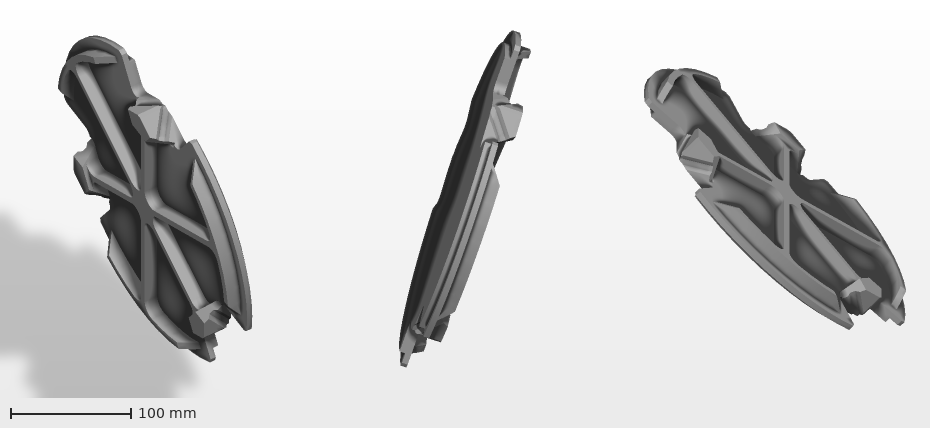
import cadquery as cq
import math


flange_radius = 147.8
back_radius = 136.0
back_depth = 5.0
plate_depth = 10.0

rib_depth = 22.2
ring_outer_radius = 137.8
ring_inner_radius = 131.5
spoke_width = 6.0
spoke_count = 6
rib_fillet = 10.0
ramp_start_gap = 14.8
ramp_length = 18.0

symmetry = 3
notch_wall_offset = 20.0
notch_fillet = 8.0
tip_chamfer = 3.3
lug_depth = 26.0
lug_face_offset = 105.3
lug_base_z = 98.8
lug_top_z = 120.3
lug_end_distance = 32.0

relief_x = 24.2
relief_z = 104.7
relief_radius = 6.5
relief_floor_radius = 4.7
relief_depth = 1.5

groove_angle = math.degrees(math.asin(1 / math.sqrt(3)))
groove_center = -1.5
groove_width = 11.0
groove_floor_width = 4.7
groove_depth = 3.0

cos30 = math.cos(math.radians(30))
sin30 = math.sin(math.radians(30))
tan30 = math.tan(math.radians(30))
ridge_z = lug_face_offset / cos30
lug_top_half_width = (ridge_z - lug_top_z) / tan30
lug_base_half_width = (ridge_z - lug_base_z) / tan30
cutter_size = 2 * flange_radius
tolerance = 0.3


def front_plane(depth):
    """Plane facing -Y at a depth in front of the back, with local x = X and y = Z."""
    return cq.Workplane("XZ", origin=(0, -depth, 0))


def turned(shape, angle):
    return shape.rotate((0, 0, 0), (0, 1, 0), angle)


def edges_at_radius(body, radius):
    """Select the straight edges along Y that lie at a radius from the disc axis."""
    picked = []
    for edge in body.edges("|Y").vals():
        middle = edge.Center()
        at_radius = abs(math.hypot(middle.x, middle.z) - radius) < tolerance
        if at_radius:
            picked.append(edge)
    return body.newObject(picked)


def mirrored_left_half(shape):
    """The part of a shape at negative X together with its mirror image."""
    size = 2 * cutter_size
    left_space = cq.Workplane("XY").box(size, size, size).translate((-size / 2, 0, 0))
    left = shape.intersect(left_space)
    return left.union(left.mirror("YZ"))


def three_around(shape):
    """Copies of a top feature at each of the three notches, as one body."""
    step = 360 / symmetry
    body = shape
    for i in range(1, symmetry):
        body = body.union(turned(shape, i * step))
    return body


def wall_point(along, offset):
    """Point on the line beside the left notch, measured along it and sideways."""
    return (-along * sin30 + offset * cos30, along * cos30 + offset * sin30)


def notch():
    """Cutter for the top notch, leaving the outline of the lug in its middle."""
    outer_x, outer_z = wall_point(cutter_size, notch_wall_offset)
    root_x, root_z = wall_point(lug_face_offset, notch_wall_offset)
    points = [
        (outer_x, outer_z), (root_x, root_z),
        (-lug_top_half_width, lug_top_z), (lug_top_half_width, lug_top_z),
        (-root_x, root_z), (-outer_x, outer_z),
    ]
    cutter = front_plane(0).polyline(points).close().extrude(plate_depth)
    roots = edges_at_radius(cutter, math.hypot(root_x, root_z))
    return roots.fillet(notch_fillet)


def plate():
    notches = three_around(notch())
    back = front_plane(0).circle(back_radius).extrude(back_depth).cut(notches)
    flange = front_plane(back_depth).circle(flange_radius)
    flange = flange.extrude(plate_depth - back_depth).cut(notches)
    flange = edges_at_radius(flange, flange_radius).chamfer(tip_chamfer)
    return back.union(flange)


def lug_relief():
    """Pair of shallow conical cutters beside the ends of the top lug."""
    cone = cq.Solid.makeCone(
        relief_radius, relief_floor_radius, relief_depth,
        cq.Vector(-relief_x, -plate_depth, relief_z), cq.Vector(0, 1, 0),
    )
    return mirrored_left_half(cq.Workplane(cone))


def ring_gap():
    """Cutter that opens the ring at the top notch and slopes the ring ends."""
    foot = notch_wall_offset - ramp_start_gap
    crest = foot - ramp_length
    profile = [(cutter_size, -plate_depth), (foot, -plate_depth),
               (crest, -rib_depth), (cutter_size, -rib_depth)]
    wall_x = lug_base_z * sin30
    wall_z = lug_base_z * cos30
    start = (-wall_x, 0, wall_z)
    wall_frame = cq.Plane(origin=start, xDir=(cos30, 0, sin30), normal=(-sin30, 0, cos30))
    left = cq.Workplane(wall_frame).polyline(profile).close().extrude(cutter_size)
    return mirrored_left_half(left)


def ribs():
    height = rib_depth - plate_depth
    ring = front_plane(plate_depth).circle(ring_outer_radius).circle(ring_inner_radius)
    spoke_end = (ring_outer_radius + ring_inner_radius) / 2
    body = ring.extrude(height)
    for i in range(spoke_count):
        reach = spoke_end if i % 2 else lug_base_z
        spoke = front_plane(plate_depth).center(0, reach / 2).rect(spoke_width, reach)
        spoke = spoke.extrude(height)
        body = body.union(turned(spoke, i * 360 / spoke_count))
    hub_corner_radius = spoke_width / 2 / math.sin(math.pi / spoke_count)
    body = edges_at_radius(body, hub_corner_radius).fillet(rib_fillet)
    body = edges_at_radius(body, ring_inner_radius).fillet(rib_fillet)
    return body.cut(three_around(ring_gap())).union(three_around(spoke_flare()))


def spoke_flare():
    """Rounded widening of a spoke where it runs into the base of the top lug."""
    inner_x = spoke_width / 2
    outer_x = inner_x + rib_fillet
    start_z = lug_base_z - rib_fillet
    bulge = rib_fillet * math.sin(math.radians(45))
    mid_x = outer_x - bulge
    mid_z = start_z + bulge
    return (
        front_plane(plate_depth)
        .moveTo(-inner_x, start_z)
        .threePointArc((-mid_x, mid_z), (-outer_x, lug_base_z))
        .lineTo(outer_x, lug_base_z)
        .threePointArc((mid_x, mid_z), (inner_x, start_z))
        .close()
        .extrude(rib_depth - plate_depth)
    )


def groove_plane():
    """Plane through the ridge point across the left groove.

    Local x runs across the groove, local y points out of the lug face and the
    normal runs down the groove toward the slanted lug end.
    """
    rise = math.sin(math.radians(groove_angle))
    run = math.cos(math.radians(groove_angle))
    downhill = (-run * cos30, -rise, -run * sin30)
    across = (rise * cos30, -run, rise * sin30)
    return cq.Plane(origin=(0, 0, ridge_z), xDir=across, normal=downhill)


def grooves():
    """Cutter for the trapezoidal grooves in both faces of the top lug."""
    half_top = groove_width / 2
    half_floor = groove_floor_width / 2
    slope = (half_top - half_floor) / groove_depth
    above = groove_depth
    half_above = half_top + slope * above
    points = [
        (groove_center - half_above, above),
        (groove_center - half_floor, -groove_depth),
        (groove_center + half_floor, -groove_depth),
        (groove_center + half_above, above),
    ]
    left = cq.Workplane(groove_plane()).polyline(points).close()
    return mirrored_left_half(left.extrude(cutter_size, both=True))


def lug():
    """Top lug over the full depth with slanted ends, before the grooves are cut."""
    points = [
        (-lug_base_half_width, lug_base_z), (-lug_top_half_width, lug_top_z),
        (lug_top_half_width, lug_top_z), (lug_base_half_width, lug_base_z),
    ]
    body = front_plane(0).polyline(points).close().extrude(lug_depth)
    past_end = cq.Workplane(groove_plane()).workplane(offset=lug_end_distance)
    past_end = past_end.rect(2 * cutter_size, 2 * cutter_size).extrude(cutter_size)
    return body.cut(mirrored_left_half(past_end))


result = (
    plate()
    .cut(three_around(lug_relief()))
    .union(ribs())
    .union(three_around(lug()))
    .cut(three_around(grooves()))
)